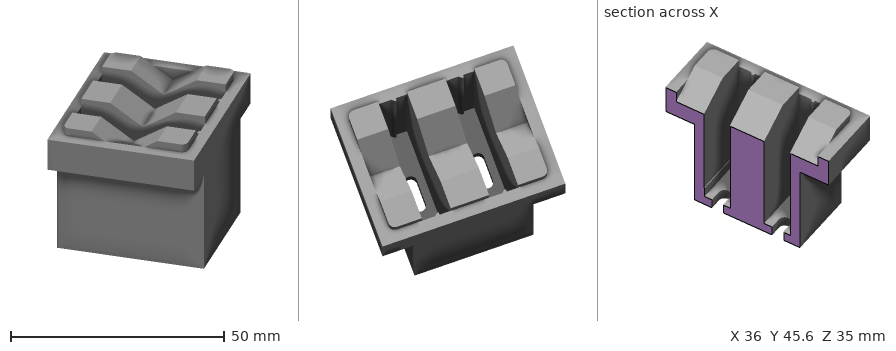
import cadquery as cq

width = 36.0
flange_length = 45.6
body_length = 29.65
total_height = 34.95
rocker_rise = 2.1
flange_thickness = 8.0
flange_top = total_height - rocker_rise
flange_bottom = flange_top - flange_thickness

rocker_width = 30.32
rocker_row_length = 39.5
rocker_corner_radius = 1.55
valley_half_width = 8.05
valley_depth = 5.2

middle_rocker_length = 9.58
trench_length = 7.2
trench_center = (middle_rocker_length + trench_length) / 2
trench_floor = 2.75

ledge_depth = 0.2
ledge_height = 2.75

slot_length = 9.05
slot_width = 3.1
slot_offset = -0.2

rib_length = 1.1
rib_projection = 0.6
rib_offset = -0.27


def box_between(size_x, size_y, bottom, top):
    """Box centred on the Z axis, spanning the given heights."""
    return cq.Workplane("XY").workplane(offset=bottom).rect(size_x, size_y).extrude(top - bottom)


def make_rocker_block():
    """Rounded block from the flange underside to the rocker tops."""
    block = box_between(rocker_width, rocker_row_length, flange_bottom, total_height)
    return block.edges("|Z").fillet(rocker_corner_radius)


def make_valley():
    """V-shaped prism running along the whole row of rockers."""
    return (
        cq.Workplane("XZ")
        .moveTo(-valley_half_width, total_height)
        .lineTo(0, total_height - valley_depth)
        .lineTo(valley_half_width, total_height)
        .close()
        .extrude(rocker_row_length / 2, both=True)
    )


def make_trench(center_y):
    trench = box_between(rocker_width, trench_length, trench_floor, total_height)
    return trench.translate((0, center_y, 0))


def make_slot(center_y):
    return cq.Workplane("XY").center(0, center_y).slot2D(slot_length, slot_width).extrude(total_height)


def make_rib(side, center_y):
    """Rib on one end wall (side = -1 or 1), chamfered toward +Y."""
    wall = side * rocker_width / 2
    tip = wall - side * rib_projection
    front = center_y - rib_length / 2
    back = center_y + rib_length / 2
    return (
        cq.Workplane("XY")
        .workplane(offset=trench_floor)
        .moveTo(wall, front)
        .lineTo(tip, front)
        .lineTo(tip, back - rib_projection)
        .lineTo(wall, back)
        .close()
        .extrude(flange_top - trench_floor)
    )


body = box_between(width, body_length, 0, flange_top)
flange = box_between(width, flange_length, flange_bottom, flange_top)
housing = body.union(flange)

result = housing.union(make_rocker_block()).cut(make_valley())

for trench_y in (-trench_center, trench_center):
    result = result.cut(make_trench(trench_y))
    result = result.cut(make_slot(trench_y + slot_offset))
    for wall_side in (-1, 1):
        result = result.union(make_rib(wall_side, trench_y + rib_offset))

ledge_y = trench_center + (trench_length - ledge_depth) / 2
ledge = box_between(rocker_width, ledge_depth, trench_floor, trench_floor + ledge_height)
result = result.union(ledge.translate((0, ledge_y, 0)))